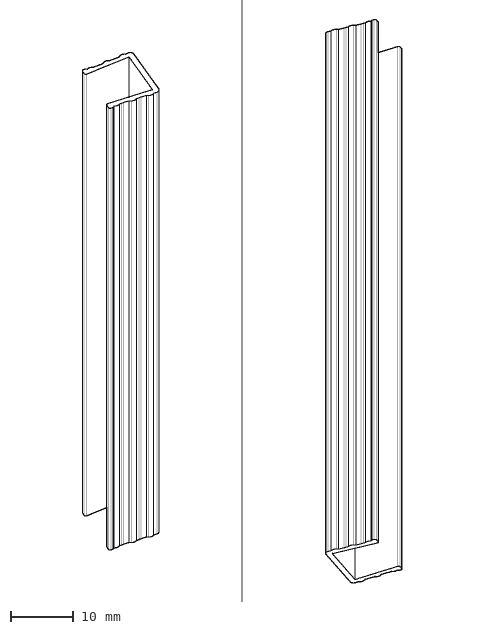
import cadquery as cq
import math

length = 100.0
depth = 9.1
width = 10.3

web = 1.0
wall = 0.85
lean_angle = 3
lean = math.tan(math.radians(lean_angle))
corner_radius = 0.6
tip_radius = 0.3

barb_count = 3
pitch = 3.0
first_crest = 1.7
barb_height = 0.2
shoulder = 0.5
hump_end = 0.46
hump_end_height = barb_height / 2
ramp = 0.3
groove_depth = 0.05
groove_end = 1.7
wall_again = 2.1

tip_step = 0.3
tip_rise = 0.1

back = depth / 2
last_crest = first_crest + (barb_count - 1) * pitch
outer_at_back = width / 2 - barb_height + lean * first_crest
tip_height = barb_height + tip_rise


def outside(drop, rise=0.0):
    """Point raised off the leaning outer wall of the right leg."""
    return (outer_at_back - lean * drop + rise, back - drop)


def inside(drop):
    """Point on the leaning inner wall of the right leg."""
    return (outer_at_back - wall - lean * drop, back - drop)


def add_barb(outline, crest):
    """Rounded hump that rises from the wall, passes its crest and stops part way down."""
    outline = outline.lineTo(*outside(crest - shoulder))
    return outline.threePointArc(
        outside(crest, barb_height),
        outside(crest + hump_end, hump_end_height),
    )


def add_groove(outline, crest):
    """Ramp down behind a hump into a shallow groove, then a slope back to the wall."""
    outline = outline.lineTo(*outside(crest + hump_end + ramp, -groove_depth))
    outline = outline.lineTo(*outside(crest + groove_end, -groove_depth))
    return outline.lineTo(*outside(crest + wall_again))


def half_profile():
    """Right half of the channel section, closed along the middle plane."""
    outline = cq.Workplane("XY").moveTo(0, back).lineTo(*outside(0))
    for i in range(barb_count):
        crest = first_crest + i * pitch
        outline = add_barb(outline, crest)
        if crest < last_crest:
            outline = add_groove(outline, crest)
    outline = outline.lineTo(*outside(last_crest + hump_end + tip_step, tip_height))
    outline = outline.lineTo(*outside(depth, tip_height))
    return outline.lineTo(*inside(depth)).lineTo(*inside(web)).lineTo(0, back - web).close()


def round_edge(body, point, radius):
    """Fillet the lengthwise edge that passes through a profile point."""
    nearest = cq.selectors.NearestToPointSelector((*point, length / 2))
    return body.edges(nearest).fillet(radius)


half = half_profile().extrude(length)
half = round_edge(half, outside(0), corner_radius)
half = round_edge(half, outside(depth, tip_height), tip_radius)
half = round_edge(half, inside(depth), tip_radius)

result = half.union(half.mirror("YZ"))